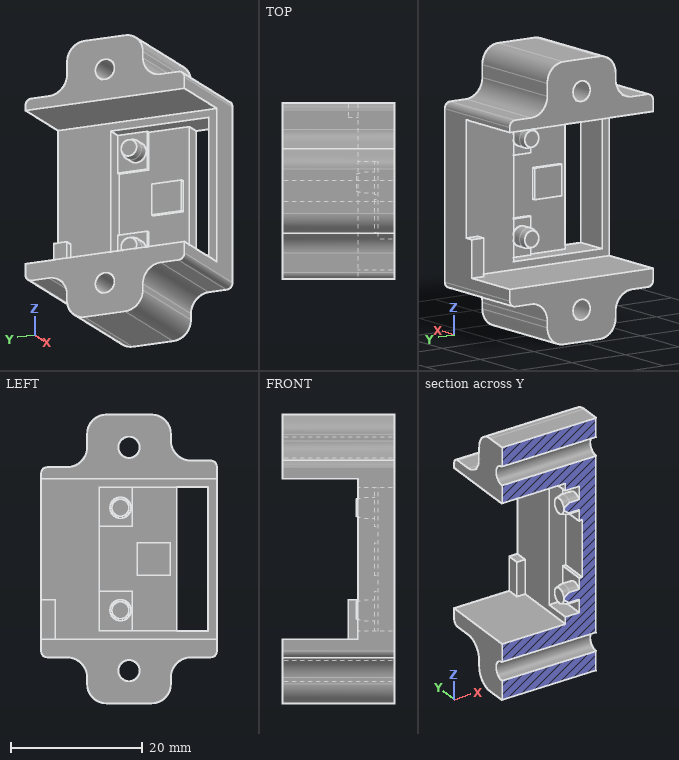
import cadquery as cq

depth_x = 17.1
width_y = 26.8
height_z = 44.0
half_x = depth_x / 2
half_y = width_y / 2
half_z = height_z / 2

shoulder_z = 15.0
low_shoulder_z = 14.0
ear_half_width = 6.4
ear_corner_radius = 3.0
ear_root_radius = 3.0
body_corner_radius = 1.0
screw_hole_diameter = 3.2
screw_hole_z = 17.0

channel_half_height = 12.2
plate_face_x = 2.95

tab_depth = 1.5
tab_width = 2.2
tab_height = 6.0

pocket_max_y = 4.5
pocket_min_y = -12.0
pocket_half_height = 10.95
pocket_depth = 3.05
floor_x = plate_face_x + pocket_depth
slot_max_y = -7.3

pad_thickness = 0.55
corner_pad_width = 5.0
corner_pad_height = 6.0
centre_pad_width = 5.0
centre_pad_height = 4.9
centre_pad_y = -3.75

pin_diameter = 3.2
pin_y = 1.3
pin_z = 7.8
pin_protrusion = 0.25
pin_tip_x = plate_face_x - pin_protrusion
pin_taper_width = 0.3
pin_taper_length = 1.0


def box_between(x_range, y_range, z_range):
    """Axis-aligned box spanning three (low, high) ranges."""
    spans = (x_range, y_range, z_range)
    size = [high - low for low, high in spans]
    corner = cq.Vector(*[low for low, _ in spans])
    return cq.Workplane("XY").box(*size, centered=False).translate(corner)


def round_edge(solid, corner, radius):
    """Round the X-direction edge that passes through the given (y, z) corner."""
    midpoint = (0, *corner)
    return solid.edges(cq.selectors.NearestToPointSelector(midpoint)).fillet(radius)


def make_body():
    """Prism along X with rounded shoulders and ears."""
    outline = [
        (-half_y, -shoulder_z),
        (-ear_half_width, -shoulder_z),
        (-ear_half_width, -half_z),
        (ear_half_width, -half_z),
        (ear_half_width, -shoulder_z),
        (half_y, -shoulder_z),
        (half_y, low_shoulder_z),
        (ear_half_width, low_shoulder_z),
        (ear_half_width, half_z),
        (-ear_half_width, half_z),
        (-ear_half_width, shoulder_z),
        (-half_y, shoulder_z),
    ]
    body = cq.Workplane("YZ").polyline(outline).close().extrude(half_x, both=True)
    for y, z in outline:
        if abs(y) == half_y:
            radius = body_corner_radius
        elif abs(z) == half_z:
            radius = ear_corner_radius
        else:
            radius = ear_root_radius
        body = round_edge(body, (y, z), radius)
    return body


def make_channel():
    return box_between(
        (-half_x, plate_face_x),
        (-half_y, half_y),
        (-channel_half_height, channel_half_height),
    )


def make_screw_holes():
    return (
        cq.Workplane("YZ")
        .pushPoints([(0, screw_hole_z), (0, -screw_hole_z)])
        .circle(screw_hole_diameter / 2)
        .extrude(half_x, both=True)
    )


def make_tab():
    return box_between(
        (plate_face_x - tab_depth, plate_face_x),
        (half_y - tab_width, half_y),
        (-channel_half_height, tab_height - channel_half_height),
    )


def make_pocket():
    z_range = (-pocket_half_height, pocket_half_height)
    pocket = box_between((plate_face_x, floor_x), (pocket_min_y, pocket_max_y), z_range)
    slot = box_between((plate_face_x, half_x), (pocket_min_y, slot_max_y), z_range)
    return pocket.union(slot)


def make_centre_pad():
    return box_between(
        (floor_x - pad_thickness, floor_x),
        (centre_pad_y - centre_pad_width / 2, centre_pad_y + centre_pad_width / 2),
        (-centre_pad_height / 2, centre_pad_height / 2),
    )


def make_upper_contact():
    """Corner pad in the upper end of the pocket, carrying a pin with a tapered tip."""
    pad = box_between(
        (floor_x - pad_thickness, floor_x),
        (pocket_max_y - corner_pad_width, pocket_max_y),
        (pocket_half_height - corner_pad_height, pocket_half_height),
    )
    pin = (
        cq.Workplane("YZ", origin=(pin_tip_x, pin_y, pin_z))
        .circle(pin_diameter / 2)
        .extrude(floor_x - pin_tip_x)
        .faces("<X")
        .chamfer(pin_taper_length, pin_taper_width)
    )
    return pad.union(pin)


upper_contact = make_upper_contact()

result = (
    make_body()
    .cut(make_channel())
    .cut(make_screw_holes())
    .cut(make_pocket())
    .union(make_tab())
    .union(make_centre_pad())
    .union(upper_contact)
    .union(upper_contact.mirror("XY"))
)